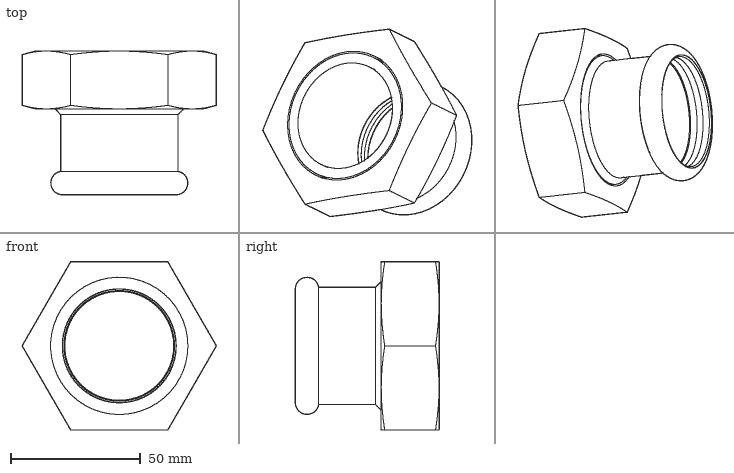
import cadquery as cq
import math

total_length = 55.6
nut_length = 22.5
nut_front = total_length - nut_length

corner_diameter = 75.05
face_circle_diameter = 64.25
corner_chamfer_angle = 15.0
nut_hole_diameter = 51.3

bead_diameter = 53.0
bead_length = 9.15
tube_diameter = 45.4
collar_diameter = 50.0
flare_length = 2.3
flare_depth_in_nut = 0.2
flare_end = nut_front + flare_depth_in_nut
flare_start = flare_end - flare_length

mouth_diameter = 44.05
socket_diameter = 42.7
bore_diameter = 42.0
mouth_chamfer_length = 0.6
socket_length = 8.6
bore_taper_length = 0.3
seal_groove_width = 2.55
seal_groove_depth = 0.45


def revolve_about_y(profile):
    """Turn a closed (radius, y) profile drawn in the XY plane about the Y axis."""
    return profile.close().revolve(360, (0, 0), (0, 1))


def make_sleeve():
    """Press sleeve with a rounded bead, an internal seal groove and a flared collar."""
    bead_radius = bead_length / 2
    bead_center = bead_diameter / 2 - bead_radius
    tube_radius = tube_diameter / 2
    collar_radius = collar_diameter / 2
    socket_radius = socket_diameter / 2
    bore_radius = bore_diameter / 2
    bead_end = bead_radius + math.sqrt(bead_radius**2 - (tube_radius - bead_center) ** 2)
    groove_start = (bead_length - seal_groove_width) / 2
    groove_end = groove_start + seal_groove_width

    profile = (
        cq.Workplane("XY")
        .moveTo(mouth_diameter / 2, 0)
        .lineTo(bead_center, 0)
        .threePointArc((bead_diameter / 2, bead_radius), (tube_radius, bead_end))
        .lineTo(tube_radius, flare_start)
        .lineTo(collar_radius, flare_end)
        .lineTo(collar_radius, total_length)
        .lineTo(bore_radius, total_length)
        .lineTo(bore_radius, socket_length + bore_taper_length)
        .lineTo(socket_radius, socket_length)
        .lineTo(socket_radius, groove_end)
        .threePointArc((socket_radius + seal_groove_depth, bead_radius), (socket_radius, groove_start))
        .lineTo(socket_radius, mouth_chamfer_length)
    )
    return revolve_about_y(profile)


def make_nut():
    """Hexagonal nut with conically chamfered corners and a plain clearance hole."""
    corner_radius = corner_diameter / 2
    face_radius = face_circle_diameter / 2
    chamfer_length = (corner_radius - face_radius) * math.tan(math.radians(corner_chamfer_angle))

    hexagon = (
        cq.Workplane("XZ", origin=(0, nut_front, 0))
        .polygon(6, corner_diameter)
        .circle(nut_hole_diameter / 2)
        .extrude(-nut_length)
    )
    chamfer_envelope = revolve_about_y(
        cq.Workplane("XY")
        .moveTo(0, nut_front)
        .lineTo(face_radius, nut_front)
        .lineTo(corner_radius, nut_front + chamfer_length)
        .lineTo(corner_radius, total_length - chamfer_length)
        .lineTo(face_radius, total_length)
        .lineTo(0, total_length)
    )
    return hexagon.intersect(chamfer_envelope)


sleeve = make_sleeve()
nut = make_nut()

result = cq.Compound.makeCompound([sleeve.val(), nut.val()])